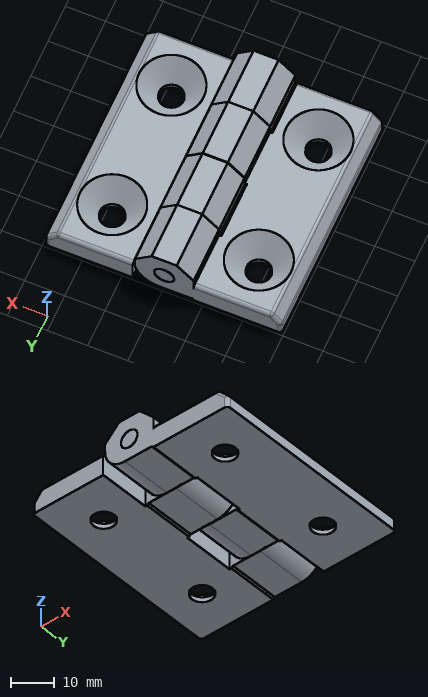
import cadquery as cq
import math

length = 59.0
span = 59.0
leaf_thickness = 6.5
edge_fillet = 1.0

axis_x = -0.25
axis_z = leaf_thickness

knuckle_count = 4
knuckle_half_width = 7.3
knuckle_top = 13.2
knuckle_chamfer = 4.2
underside_relief = 0.5
side_clearance = 0.55
end_clearance = 0.1
knuckle_pitch = length / knuckle_count
pin_radius = 2.5

bevel_height = 3.0
bevel_top_offset = 26.7

screw_hole_radius = 3.0
countersink_radius = 8.0
screw_offset_x = 18.3
right_screw_offset_y = 17.1
left_screw_offset_y = 17.2


def extrude_along_y(outline, y_start, y_end):
    """Extrude an XZ outline between two Y positions."""
    return outline.extrude(-(y_end - y_start)).translate((0, y_start, 0))


def leaf_plate(reach):
    """Bevelled plate on the +X side that ends `reach` from the hinge axis, with its outer edges rounded."""
    inner = knuckle_half_width
    outline = (
        cq.Workplane("XZ")
        .moveTo(inner, 0)
        .lineTo(reach, 0)
        .lineTo(reach, leaf_thickness - bevel_height)
        .lineTo(bevel_top_offset, leaf_thickness)
        .lineTo(inner, leaf_thickness)
        .close()
    )
    plate = extrude_along_y(outline, -length / 2, length / 2)
    margin = 0.05
    inner_face_edges = cq.selectors.BoxSelector(
        (inner - margin, -length, -margin), (inner + margin, length, knuckle_top), boundingbox=True
    )
    bottom_edges = cq.selectors.BoxSelector(
        (0, -length, -margin), (span, length, margin), boundingbox=True
    )
    rounded_edges = cq.selectors.SubtractSelector(
        cq.selectors.InverseSelector(inner_face_edges), bottom_edges
    )
    return plate.edges(rounded_edges).fillet(edge_fillet)


def knuckle(y_start, y_end):
    """One knuckle, meeting the plate on its +X side and rounded below on its -X side."""
    half = knuckle_half_width
    flat_half = half - knuckle_chamfer
    shoulder_z = knuckle_top - knuckle_chamfer
    round_radius = axis_z - underside_relief
    round_center_x = round_radius - half
    round_step = round_radius * math.sqrt(0.5)
    outline = (
        cq.Workplane("XZ")
        .moveTo(half, leaf_thickness)
        .lineTo(half, shoulder_z)
        .lineTo(flat_half, knuckle_top)
        .lineTo(-flat_half, knuckle_top)
        .lineTo(-half, shoulder_z)
        .lineTo(-half, axis_z)
        .threePointArc(
            (round_center_x - round_step, axis_z - round_step),
            (round_center_x, underside_relief),
        )
        .lineTo(half - underside_relief, underside_relief)
        .lineTo(half, 0)
        .close()
    )
    return extrude_along_y(outline, y_start, y_end)


def knuckle_clearance(y_start, y_end):
    """Strip cut from the inner edge of a plate beside a knuckle of the other leaf."""
    strip = (
        cq.Workplane("XZ")
        .moveTo(knuckle_half_width, 0)
        .rect(2 * side_clearance, 2 * leaf_thickness)
    )
    return extrude_along_y(strip, y_start, y_end)


def pin_cylinder():
    """Full-length cylinder on the hinge axis, used for the pin and its bore."""
    return extrude_along_y(
        cq.Workplane("XZ").center(0, axis_z).circle(pin_radius), -length / 2, length / 2
    )


def screw_cutter(x, y):
    """Through hole with a 90 degree countersink."""
    sink_depth = countersink_radius - screw_hole_radius
    profile = (
        cq.Workplane("XZ")
        .lineTo(screw_hole_radius, 0)
        .lineTo(screw_hole_radius, leaf_thickness - sink_depth)
        .lineTo(countersink_radius, leaf_thickness)
        .lineTo(0, leaf_thickness)
        .close()
    )
    return profile.revolve(360, (0, 0), (0, 1)).translate((x, y, 0))


def leaf(reach, screw_offset_y):
    """Leaf on the +X side of a hinge axis at X = 0, with its knuckles at the -Y end first."""
    body = leaf_plate(reach)
    body = body.union(knuckle(-length / 2, -knuckle_pitch))
    body = body.union(knuckle(end_clearance / 2, knuckle_pitch))
    body = body.cut(knuckle_clearance(-knuckle_pitch, end_clearance / 2))
    body = body.cut(knuckle_clearance(knuckle_pitch, length / 2))
    body = body.cut(pin_cylinder())
    for y in (-screw_offset_y, screw_offset_y):
        body = body.cut(screw_cutter(screw_offset_x, y))
    return body


right_leaf = leaf(span / 2 - axis_x, right_screw_offset_y)
left_leaf = leaf(span / 2 + axis_x, left_screw_offset_y).rotate((0, 0, 0), (0, 0, 1), 180)
pin = pin_cylinder()

bodies = [body.translate((axis_x, 0, 0)).val() for body in (right_leaf, left_leaf, pin)]

result = cq.Compound.makeCompound(bodies)